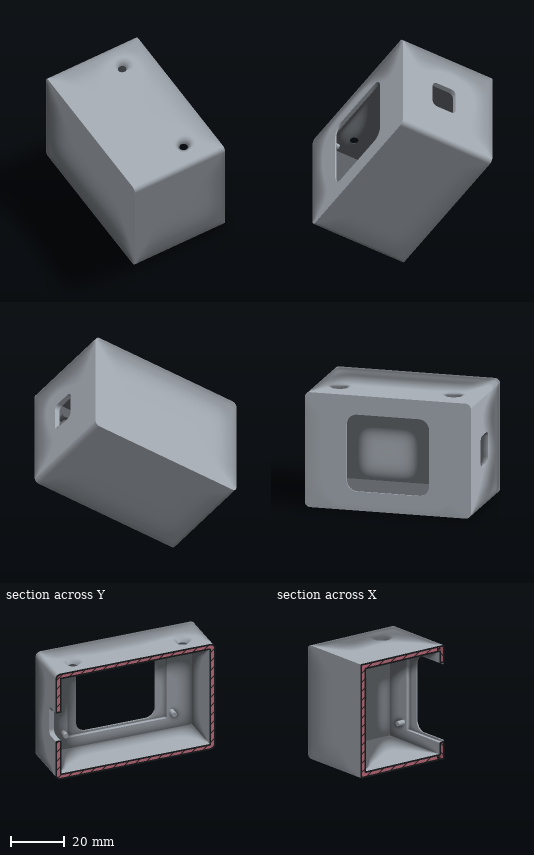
import cadquery as cq
import math

length = 64.0
depth = 39.0
height = 44.0
wall = 2.0
edge_radius = wall

housing_depth = depth - wall
window_depth = 10.0
window_height = 12.0
window_y = 21.0
window_radius = wall
mouth_diameter = 10.0
flare_radius = 2 * wall
cable_hole_spacing = 44.0
cable_hole_y = 27.0

rim_depth = 0.8
rim_width = wall / 2
pocket_length = 39.95
pocket_height = 31.0
pocket_depth = 1.5
opening_length = 31.75
opening_height = 29.45
opening_radius = 4.0

peg_diameter = 2.0
peg_length = 3.0
peg_spacing_x = 43.5
peg_spacing_z = 25.85

center_x = length / 2
center_z = height / 2
inner_length = length - 2 * wall
inner_height = height - 2 * wall


def block(size_x, size_z, y_start, y_end):
    """Block centred on the case in X and Z, running from y_start to y_end."""
    return cq.Workplane("XY").box(size_x, y_end - y_start, size_z).translate(
        (center_x, (y_start + y_end) / 2, center_z)
    )


def rim_block(y_start):
    """Outer envelope of the lid rim, up to the back of the housing."""
    rim_length = inner_length + 2 * rim_width
    rim_height = inner_height + 2 * rim_width
    return block(rim_length, rim_height, y_start, housing_depth)


def cable_hole(x):
    """Hole through the top wall, flared by an arc tangent to the outer face."""
    arc_center_z = height - flare_radius
    full_angle = math.acos((flare_radius - wall) / flare_radius)

    def arc_point(angle):
        radius = mouth_diameter / 2 - flare_radius * math.sin(angle)
        return (radius, arc_center_z + flare_radius * math.cos(angle))

    profile = (
        cq.Workplane("XZ")
        .moveTo(0, height - wall)
        .lineTo(*arc_point(full_angle))
        .threePointArc(arc_point(full_angle / 2), arc_point(0))
        .lineTo(0, height)
        .close()
    )
    return profile.revolve(360, (0, 0, 0), (0, 1, 0)).translate((x, cable_hole_y, 0))


def make_housing():
    body = block(length, height, 0, housing_depth).edges("|Y").fillet(edge_radius)
    body = body.cut(block(inner_length, inner_height, wall, housing_depth))
    body = body.cut(rim_block(housing_depth - rim_depth))

    window = (
        cq.Workplane("XY")
        .box(wall, window_depth, window_height)
        .edges("|X")
        .fillet(window_radius)
        .translate((wall / 2, window_y, center_z))
    )
    body = body.cut(window)

    for side in (-1, 1):
        body = body.cut(cable_hole(center_x + side * cable_hole_spacing / 2))
    return body


def make_lid():
    body = block(length, height, housing_depth, depth).edges("|Y").fillet(edge_radius)
    rim_start = housing_depth - rim_depth
    rim = rim_block(rim_start).cut(block(inner_length, inner_height, rim_start, housing_depth))
    body = body.union(rim)

    pocket_floor = housing_depth + pocket_depth
    body = body.cut(block(pocket_length, pocket_height, housing_depth, pocket_floor))
    opening = block(opening_length, opening_height, pocket_floor, depth)
    body = body.cut(opening.edges("|Y").fillet(opening_radius))

    pegs = (
        cq.Workplane("XZ", origin=(center_x, housing_depth, center_z))
        .rect(peg_spacing_x, peg_spacing_z, forConstruction=True)
        .vertices()
        .circle(peg_diameter / 2)
        .extrude(peg_length)
    )
    return body.union(pegs)


housing = make_housing()
lid = make_lid()

result = cq.Compound.makeCompound([housing.val(), lid.val()])